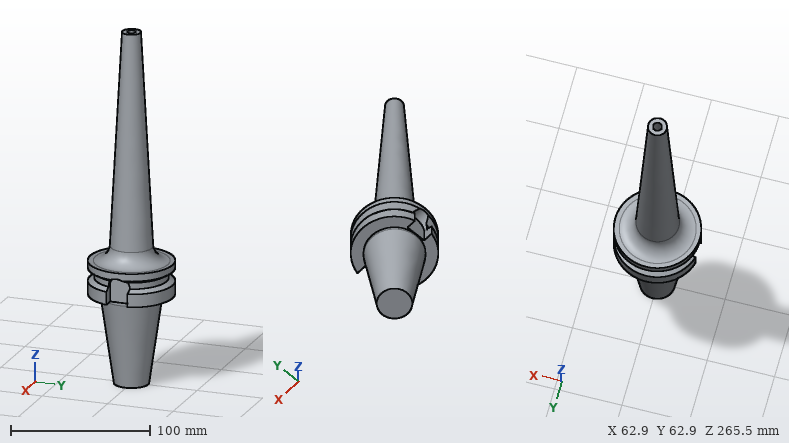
import cadquery as cq
import math

TOTAL_HEIGHT = 265.5
GAUGE_HEIGHT = 65.3
FLANGE_BOTTOM = 67.5
FLANGE_TOP = 92.5

SHANK_RADIUS = 22.3
SHANK_TAPER = 7 / 24
SHANK_END_RADIUS = SHANK_RADIUS - GAUGE_HEIGHT * SHANK_TAPER / 2

FLANGE_RADIUS = 31.45
GROOVE_RADIUS = 26.8
LOWER_RIM_TOP = 77.2
GROOVE_BOTTOM = 79.5
GROOVE_TOP = 84.5
UPPER_RIM_BOTTOM = 87.0

NOSE_ROOT_RADIUS = 15.7
NOSE_ROOT_HEIGHT = 103.8
NOSE_TIP_RADIUS = 7.0
FILLET_OUTER_RADIUS = 27.5

BORE_RADIUS = 3.2
BORE_DEPTH = 21.2

SLOT_WIDTH = 16.2
SLOT_TOP = 88.0
SLOT_FLOOR = 22.5


def fillet_midpoint():
    """Point (radius, height) halfway along the root arc, which is tangent to the flange face."""
    span = FILLET_OUTER_RADIUS - NOSE_ROOT_RADIUS
    rise = NOSE_ROOT_HEIGHT - FLANGE_TOP
    arc_radius = (span**2 + rise**2) / (2 * rise)
    half_angle = math.atan2(rise, span)
    mid_radius = FILLET_OUTER_RADIUS - arc_radius * math.sin(half_angle)
    mid_height = FLANGE_TOP + arc_radius * (1 - math.cos(half_angle))
    return mid_radius, mid_height


def turned_body():
    """Shank, flange and nose as one revolved profile."""
    profile = (
        cq.Workplane("XZ")
        .moveTo(0, 0)
        .lineTo(SHANK_END_RADIUS, 0)
        .lineTo(SHANK_RADIUS, GAUGE_HEIGHT)
        .lineTo(SHANK_RADIUS, FLANGE_BOTTOM)
        .lineTo(FLANGE_RADIUS, FLANGE_BOTTOM)
        .lineTo(FLANGE_RADIUS, LOWER_RIM_TOP)
        .lineTo(GROOVE_RADIUS, GROOVE_BOTTOM)
        .lineTo(GROOVE_RADIUS, GROOVE_TOP)
        .lineTo(FLANGE_RADIUS, UPPER_RIM_BOTTOM)
        .lineTo(FLANGE_RADIUS, FLANGE_TOP)
        .lineTo(FILLET_OUTER_RADIUS, FLANGE_TOP)
        .threePointArc(fillet_midpoint(), (NOSE_ROOT_RADIUS, NOSE_ROOT_HEIGHT))
        .lineTo(NOSE_TIP_RADIUS, TOTAL_HEIGHT)
        .lineTo(0, TOTAL_HEIGHT)
        .close()
    )
    return profile.revolve(360, (0, 0, 0), (0, 1, 0))


def tip_bore():
    return cq.Workplane("XY", origin=(0, 0, TOTAL_HEIGHT)).circle(BORE_RADIUS).extrude(-BORE_DEPTH)


def drive_slot(side):
    """Cutter for one slot, open at the flange bottom; side is +1 or -1 along X."""
    half_width = SLOT_WIDTH / 2
    arc_start = SLOT_TOP - half_width
    return (
        cq.Workplane("YZ", origin=(side * SLOT_FLOOR, 0, 0))
        .moveTo(-half_width, FLANGE_BOTTOM)
        .lineTo(half_width, FLANGE_BOTTOM)
        .lineTo(half_width, arc_start)
        .threePointArc((0, SLOT_TOP), (-half_width, arc_start))
        .close()
        .extrude(side * FLANGE_RADIUS)
    )


result = turned_body().cut(tip_bore())
for side in (-1, 1):
    result = result.cut(drive_slot(side))